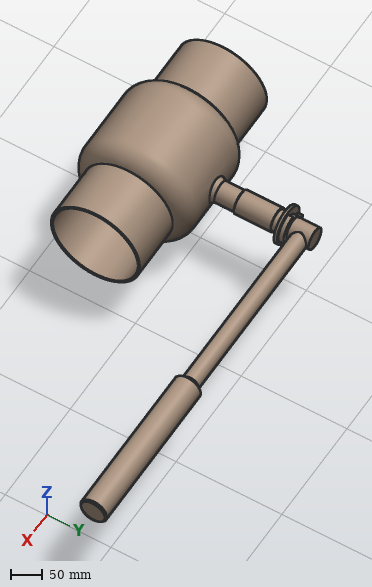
import cadquery as cq

body_diameter = 219.0
body_half_length = 96.0
body_corner_radius = 37.0
pipe_diameter = 168.0
bore_diameter = 160.5
pipe_half_length = 195.0

stem_diameter = 40.0
sleeve_diameter = 44.0
sleeve_bottom = 155.0
sleeve_top = 224.0
stem_top = 295.0
collar_base_diameter = 50.0
collar_bottom = 106.0
collar_top = 117.0
flange_diameter = 70.0
flange_bottom = 238.0
flange_top = 244.0
stop_diameter = 60.0
stop_hub_diameter = 41.0
stop_top = 253.5

overall_length = 845.0
lever_end = overall_length - pipe_half_length
lever_height = 275.0
lever_diameter = 32.0
grip_diameter = 50.0
grip_length = 299.0
grip_taper_length = 8.0
grip_outer_chamfer = 2.5


def stem_cylinder(diameter, bottom, top):
    """Cylinder on the stem axis between two heights along Y."""
    plane = cq.Workplane("XZ", origin=(0, bottom, 0))
    return plane.circle(diameter / 2).extrude(bottom - top)


def lever_cylinder(diameter, start, end):
    """Cylinder on the lever axis between two X positions."""
    plane = cq.Workplane("YZ", origin=(start, lever_height, 0))
    return plane.circle(diameter / 2).extrude(end - start)


def pipe_cylinder(diameter, half_length):
    """Cylinder on the X axis, symmetric about the stem."""
    return cq.Workplane("YZ").circle(diameter / 2).extrude(half_length, both=True)


def make_body():
    """Round-shouldered housing on a straight pipe."""
    housing = pipe_cylinder(body_diameter, body_half_length)
    housing = housing.faces("<X or >X").edges().fillet(body_corner_radius)
    return housing.union(pipe_cylinder(pipe_diameter, pipe_half_length))


def make_stop():
    """Stop disc with the -X, +Z quarter cut back to its hub."""
    stop_radius = stop_diameter / 2
    gap = cq.Workplane("XY").box(stop_radius, stop_top, stop_radius, centered=False)
    gap = gap.translate((-stop_radius, 0, 0))
    disc = stem_cylinder(stop_diameter, flange_top, stop_top).cut(gap)
    return disc.union(stem_cylinder(stop_hub_diameter, flange_top, stop_top))


def make_stem():
    """Stem with flared collar, sleeve, flange and stop disc."""
    stem = stem_cylinder(stem_diameter, 0, stem_top)
    collar = cq.Solid.makeCone(
        collar_base_diameter / 2,
        stem_diameter / 2,
        collar_top - collar_bottom,
        pnt=cq.Vector(0, collar_bottom, 0),
        dir=cq.Vector(0, 1, 0),
    )
    stem = stem.union(cq.Workplane(collar))
    stem = stem.union(stem_cylinder(sleeve_diameter, sleeve_bottom, sleeve_top))
    stem = stem.union(stem_cylinder(flange_diameter, flange_bottom, flange_top))
    return stem.union(make_stop())


def make_lever():
    """Lever rod and grip, tapered to the rod and chamfered at the free end."""
    grip_start = lever_end - grip_length
    rod = lever_cylinder(lever_diameter, 0, lever_end - grip_length / 2)
    grip = lever_cylinder(grip_diameter, grip_start + grip_taper_length, lever_end)
    taper = cq.Solid.makeCone(
        lever_diameter / 2,
        grip_diameter / 2,
        grip_taper_length,
        pnt=cq.Vector(grip_start, lever_height, 0),
        dir=cq.Vector(1, 0, 0),
    )
    grip = grip.faces(">X").edges().chamfer(grip_outer_chamfer)
    return rod.union(cq.Workplane(taper)).union(grip)


bore = pipe_cylinder(bore_diameter, pipe_half_length)
result = make_body().union(make_stem()).union(make_lever()).cut(bore)